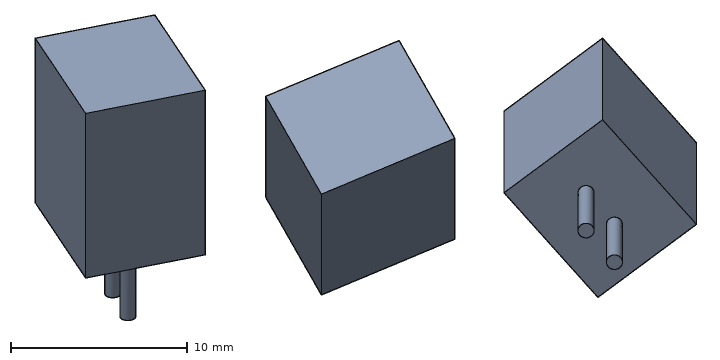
import cadquery as cq

housing_length = 8.42
housing_width = 7.21
total_height = 16.2

pin_diameter = 0.9
pin_length = 5.12
pin_pitch = 2.55

housing_height = total_height - pin_length


def make_housing():
    """Plain rectangular block whose underside lies on Z = 0."""
    return cq.Workplane("XY").box(
        housing_length, housing_width, housing_height, centered=(True, True, False)
    )


def make_pin(x):
    """Round pin hanging from the underside of the housing."""
    return cq.Workplane("XY").center(x, 0).circle(pin_diameter / 2).extrude(-pin_length)


housing = make_housing()
pins = [make_pin(side * pin_pitch / 2) for side in (-1, 1)]

result = cq.Compound.makeCompound([housing.val(), *[pin.val() for pin in pins]])